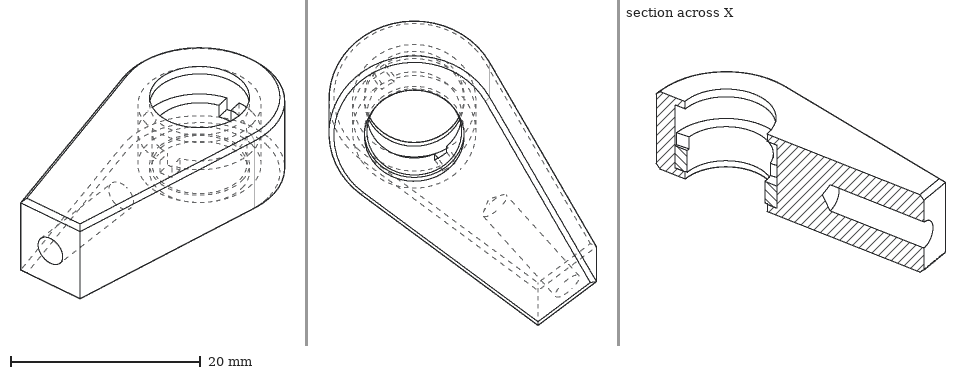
import cadquery as cq
import math

LENGTH = 34.4
HEAD_RADIUS = 8.995
TIP_WIDTH = 7.98
THICKNESS = 10.0
EDGE_CHAMFER = 0.5

LIP_RADIUS = 5.25
LIP_THICKNESS = 1.0
CHAMBER_RADIUS = 6.5

DRILL_DIAMETER = 3.3
DRILL_DEPTH = 12.05
DRILL_POINT_ANGLE = 118.0

RING_INNER_RADIUS = 5.0
RING_HEIGHT = 4.37
SLOT_WIDTH = 1.55
SLOT_DEPTH = 1.55
SLOT_TILT = 5.0

HEAD_Y = LENGTH / 2 - HEAD_RADIUS
TIP_Y = -LENGTH / 2
CHAMBER_HEIGHT = THICKNESS - 2 * LIP_THICKNESS
CHAMBER_FLOOR_Z = -CHAMBER_HEIGHT / 2


def cylinder(radius, bottom_z, height):
    """Vertical cylinder on the axis of the head."""
    return cq.Workplane("XY", origin=(0, HEAD_Y, bottom_z)).circle(radius).extrude(height)


def make_blank():
    """Teardrop plate: round head with flanks tangent to it, tapering to a flat tip."""
    half_tip = TIP_WIDTH / 2
    head_to_tip = HEAD_Y - TIP_Y
    corner_distance = math.hypot(half_tip, head_to_tip)
    touch_angle = math.atan2(head_to_tip, half_tip) - math.acos(HEAD_RADIUS / corner_distance)
    touch_x = HEAD_RADIUS * math.cos(touch_angle)
    touch_y = HEAD_Y - HEAD_RADIUS * math.sin(touch_angle)
    return (
        cq.Workplane("XY", origin=(0, 0, -THICKNESS / 2))
        .moveTo(-half_tip, TIP_Y)
        .lineTo(half_tip, TIP_Y)
        .lineTo(touch_x, touch_y)
        .threePointArc((0, HEAD_Y + HEAD_RADIUS), (-touch_x, touch_y))
        .close()
        .extrude(THICKNESS)
        .faces("<Z or >Z")
        .edges()
        .chamfer(EDGE_CHAMFER)
    )


def make_drill():
    """Drill shape with a conical point, entering the tip along +Y."""
    radius = DRILL_DIAMETER / 2
    point_length = radius / math.tan(math.radians(DRILL_POINT_ANGLE / 2))
    return (
        cq.Workplane("XY")
        .moveTo(0, TIP_Y)
        .lineTo(radius, TIP_Y)
        .lineTo(radius, TIP_Y + DRILL_DEPTH)
        .lineTo(0, TIP_Y + DRILL_DEPTH + point_length)
        .close()
        .revolve(360, (0, 0, 0), (0, 1, 0))
    )


def make_housing():
    bore = cylinder(LIP_RADIUS, -THICKNESS / 2, THICKNESS)
    chamber = cylinder(CHAMBER_RADIUS, CHAMBER_FLOOR_Z, CHAMBER_HEIGHT)
    return make_blank().cut(bore).cut(chamber).cut(make_drill())


def make_ring():
    """Ring filling the lower chamber, with a slot across its upper face."""
    outer = cylinder(CHAMBER_RADIUS, CHAMBER_FLOOR_Z, RING_HEIGHT)
    hole = cylinder(RING_INNER_RADIUS, CHAMBER_FLOOR_Z, RING_HEIGHT)
    slot_floor_z = CHAMBER_FLOOR_Z + RING_HEIGHT - SLOT_DEPTH
    slot = (
        cq.Workplane("XY", origin=(0, HEAD_Y, slot_floor_z))
        .transformed(rotate=(0, 0, SLOT_TILT))
        .rect(SLOT_WIDTH, 3 * CHAMBER_RADIUS)
        .extrude(SLOT_DEPTH)
    )
    return outer.cut(hole).cut(slot)


housing = make_housing()
ring = make_ring()

result = cq.Compound.makeCompound([housing.val(), ring.val()])